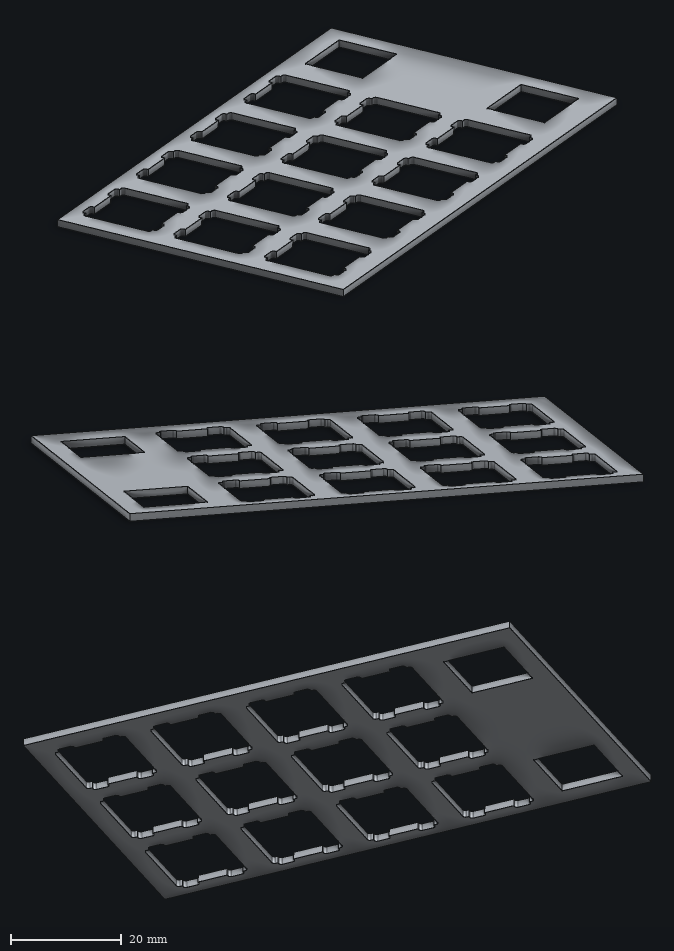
import cadquery as cq

plate_width = 59.9
plate_length = 97.05
plate_thickness = 1.5

columns = 3
switch_rows = 4
first_column_x = 10.0
first_row_y = 11.0
window_row_y = 87.15
pitch = (window_row_y - first_row_y) / switch_rows

window_size = 12.0

switch_size = 14.0
switch_corner_radius = 0.5
notch_depth = 0.825
notch_length = 3.1
notch_corner_radius = 0.5
notch_end_margin = 1.0
notch_offset = switch_size / 2 - notch_end_margin - notch_length / 2


def cutter(width, length, points, corner_radius=0):
    """Upright rectangular blocks through the plate, centred on the given points."""
    blocks = (
        cq.Workplane("XY")
        .pushPoints(points)
        .rect(width, length)
        .extrude(plate_thickness)
    )
    if corner_radius:
        blocks = blocks.edges("|Z").fillet(corner_radius)
    return blocks


column_xs = [first_column_x + column * pitch for column in range(columns)]
switch_centers = [
    (x, first_row_y + row * pitch)
    for x in column_xs
    for row in range(switch_rows)
]
window_centers = [(x, window_row_y) for x in (column_xs[0], column_xs[-1])]

plate = cq.Workplane("XY").box(plate_width, plate_length, plate_thickness, centered=False)

notch_bar_centers = [
    (x, y + offset)
    for x, y in switch_centers
    for offset in (-notch_offset, notch_offset)
]
notch_bar_width = switch_size + 2 * notch_depth

result = (
    plate
    .cut(cutter(window_size, window_size, window_centers))
    .cut(cutter(switch_size, switch_size, switch_centers, switch_corner_radius))
    .cut(cutter(notch_bar_width, notch_length, notch_bar_centers, notch_corner_radius))
)